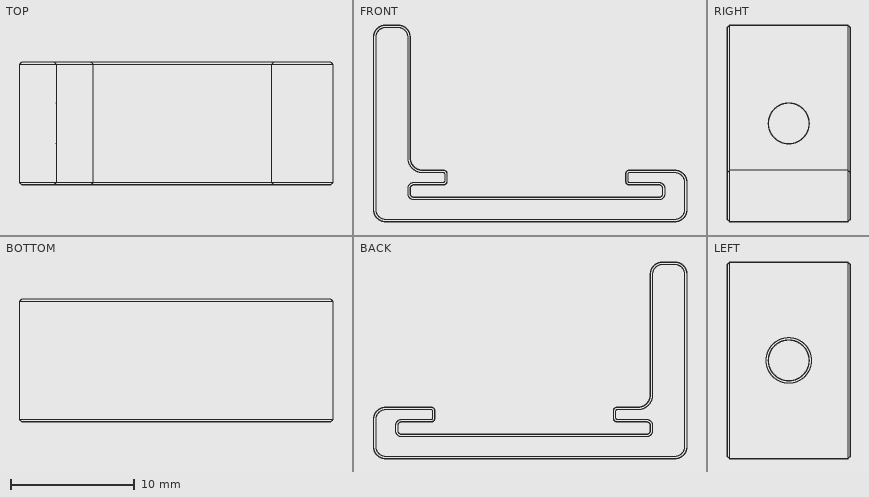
import cadquery as cq

length = 25.5
width = 10.0
height = 16.0

upright_thickness = 3.0
floor_thickness = 2.0
end_wall_thickness = 2.0
slot_height = 1.0
lip_thickness = 1.2
lip_length = 3.0

outer_radius = 1.0
root_radius = 1.0
slot_radius = 0.3
lip_tip_radius = 0.3
edge_chamfer = 0.2

hole_diameter = 3.3
hole_height = height / 2

lip_bottom = floor_thickness + slot_height
lip_top = lip_bottom + lip_thickness
slot_end = length - end_wall_thickness
upright_lip_tip = upright_thickness + lip_length
end_lip_tip = slot_end - lip_length

profile_corners = [
    (0, 0, outer_radius),
    (length, 0, outer_radius),
    (length, lip_top, outer_radius),
    (end_lip_tip, lip_top, lip_tip_radius),
    (end_lip_tip, lip_bottom, lip_tip_radius),
    (slot_end, lip_bottom, slot_radius),
    (slot_end, floor_thickness, slot_radius),
    (upright_thickness, floor_thickness, slot_radius),
    (upright_thickness, lip_bottom, slot_radius),
    (upright_lip_tip, lip_bottom, lip_tip_radius),
    (upright_lip_tip, lip_top, lip_tip_radius),
    (upright_thickness, lip_top, root_radius),
    (upright_thickness, height, outer_radius),
    (0, height, outer_radius),
]


def make_bracket():
    """Extrude the sharp profile along Y, centred on the XZ plane, and round its corners."""
    points = [(x, z) for x, z, _ in profile_corners]
    body = cq.Workplane("XZ").polyline(points).close().extrude(width / 2, both=True)
    for x, z, radius in profile_corners:
        corner_edge = cq.selectors.NearestToPointSelector((x, 0, z))
        body = body.edges("|Y").edges(corner_edge).fillet(radius)
    return body


def chamfer_side_faces(body):
    """Break the whole outline of both side faces."""
    return body.faces("<Y or >Y").edges().chamfer(edge_chamfer)


def cut_mounting_hole(body):
    """Drill the upright along X and chamfer the hole mouth on its outer face."""
    start = cq.Vector(0, 0, hole_height)
    axis = cq.Vector(1, 0, 0)
    hole_radius = hole_diameter / 2
    drill = cq.Solid.makeCylinder(hole_radius, upright_thickness, start, axis)
    countersink = cq.Solid.makeCone(hole_radius + edge_chamfer, hole_radius, edge_chamfer, start, axis)
    return body.cut(cq.Workplane(drill)).cut(cq.Workplane(countersink))


result = cut_mounting_hole(chamfer_side_faces(make_bracket()))